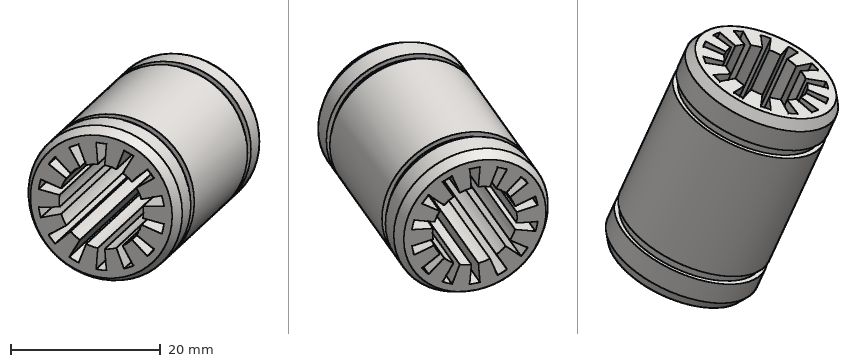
import cadquery as cq
import math

length = 32.0
outer_radius = 11.0
bore_radius = 6.0

chamfer_length = 1.5
chamfer_angle = 30.0
chamfer_depth = chamfer_length * math.tan(math.radians(chamfer_angle))

groove_width = 1.3
groove_radius = 10.3
groove_end_distance = 4.7

slot_count = 14
slot_outer_radius = 9.05
slot_outer_width = 1.47
slot_bore_width = 1.0

half_length = length / 2
groove_outer_y = half_length - groove_end_distance
groove_inner_y = groove_outer_y - groove_width


def make_body():
    """Revolve the whole section, with a chamfer and a groove at each end."""
    end_radius = outer_radius - chamfer_depth
    half_profile = [
        (outer_radius, groove_inner_y),
        (groove_radius, groove_inner_y),
        (groove_radius, groove_outer_y),
        (outer_radius, groove_outer_y),
        (outer_radius, half_length - chamfer_length),
        (end_radius, half_length),
        (bore_radius, half_length),
    ]
    mirrored_profile = [(radius, -y) for radius, y in reversed(half_profile)]
    section = cq.Workplane("XY").polyline(mirrored_profile + half_profile).close()
    return section.revolve(360, (0, 0, 0), (0, 1, 0))


def make_slot(angle):
    """Flared slot cutter with a round floor, turned about Y from the +Z direction."""
    start_radius = bore_radius / 2
    bore_half_width = slot_bore_width / 2
    floor_half_width = slot_outer_width / 2
    bore_corner_z = math.sqrt(bore_radius**2 - bore_half_width**2)
    floor_corner_z = math.sqrt(slot_outer_radius**2 - floor_half_width**2)
    wall_slope = (floor_half_width - bore_half_width) / (floor_corner_z - bore_corner_z)
    start_half_width = bore_half_width - wall_slope * (bore_corner_z - start_radius)
    cutter = (
        cq.Workplane("XZ")
        .moveTo(-start_half_width, start_radius)
        .lineTo(start_half_width, start_radius)
        .lineTo(floor_half_width, floor_corner_z)
        .threePointArc((0, slot_outer_radius), (-floor_half_width, floor_corner_z))
        .close()
        .extrude(half_length, both=True)
    )
    return cutter.rotate((0, 0, 0), (0, 1, 0), angle)


result = make_body()
for index in range(slot_count):
    result = result.cut(make_slot(index * 360 / slot_count))